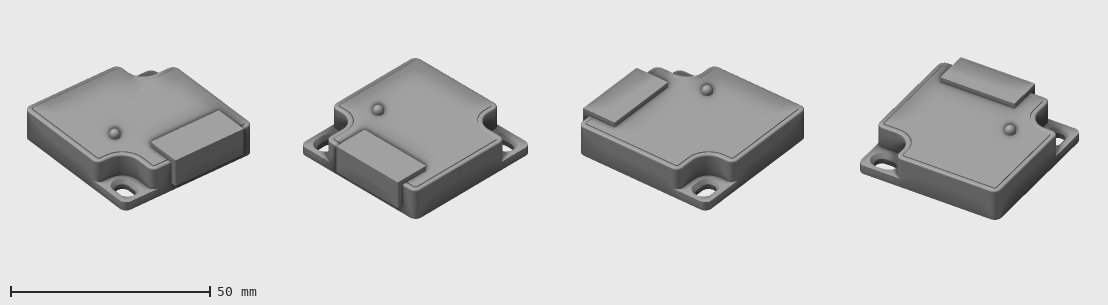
import cadquery as cq

side = 41.0
tilt = 2.8
corner_radius = 1.98
plate_thickness = 2.55
cover_top = 8.95

notch_long = 11.0
notch_short = 8.95
notch_inner_radius = 5.0

panel_inset = 1.5
rim_band = panel_inset / 3
pocket_depth = 2 * rim_band

slot_width = 4.0
slot_straight = 1.98
countersink = 1.05
slot_near = 4.5
slot_far = 5.55

connector_width = 10.0
connector_length = 21.75
connector_overhang = 1.8
connector_y = 5.1
connector_top = 10.5

dome_diameter = 2.9
dome_x = 3.15
dome_y = -10.0
dome_top = 11.0

half = side / 2


def cover_prism(inset, height):
    """Rounded, notched prism on z = 0 whose outline lies `inset` inside the housing side."""
    reach = half - inset
    long_wall = half - notch_long - inset
    short_wall = half - notch_short - inset
    outline = [
        (-reach, -reach),
        (long_wall, -reach),
        (long_wall, -short_wall),
        (reach, -short_wall),
        (reach, reach),
        (-short_wall, reach),
        (-short_wall, long_wall),
        (-reach, long_wall),
    ]
    prism = cq.Workplane("XY").polyline(outline).close().extrude(height)

    deep = reach - notch_short / 2
    inner_zone = cq.selectors.BoxSelector((-deep, -deep, 0), (deep, deep, height))
    upright = cq.StringSyntaxSelector("|Z")
    prism = prism.edges(upright - inner_zone).fillet(corner_radius - inset)
    return prism.edges(upright & inner_zone).fillet(notch_inner_radius + inset)


def mounting_slot(x, y, angle):
    """Cutter for a through slot at (x, y), with a 45 degree countersink at the plate top."""
    slot_length = slot_straight + slot_width
    through = cq.Workplane("XY").slot2D(slot_length, slot_width, angle).extrude(plate_thickness)
    sink = (
        cq.Workplane("XY", origin=(0, 0, plate_thickness))
        .slot2D(slot_length + 2 * countersink, slot_width + 2 * countersink, angle)
        .extrude(-countersink, taper=45)
    )
    return through.union(sink).translate((x, y, 0))


plate = cq.Workplane("XY").rect(side, side).extrude(plate_thickness).edges("|Z").fillet(corner_radius)

pocket_floor = cover_top - pocket_depth
panel = cover_prism(panel_inset, pocket_depth).translate((0, 0, pocket_floor))
cover = cover_prism(0, cover_top).cut(panel)
cover = cover.faces(">Z").edges().fillet(rim_band)
cover = cover.union(panel)

connector = cq.Workplane("XY").box(
    connector_width,
    connector_length,
    connector_top - plate_thickness,
    centered=(False, True, False),
)
connector_x = half + connector_overhang - connector_width
connector = connector.translate((connector_x, connector_y, plate_thickness))

dome_radius = dome_diameter / 2
dome_center_z = dome_top - dome_radius
dome = (
    cq.Workplane("XY", origin=(dome_x, dome_y, cover_top))
    .circle(dome_radius)
    .extrude(dome_center_z - cover_top)
    .union(cq.Workplane("XY", origin=(dome_x, dome_y, dome_center_z)).sphere(dome_radius))
)

body = plate.union(cover).union(connector).union(dome)
body = body.cut(mounting_slot(slot_near - half, half - slot_far, 90))
body = body.cut(mounting_slot(half - slot_far, slot_near - half, 0))
result = body.rotate((0, 0, 0), (0, 0, 1), tilt)